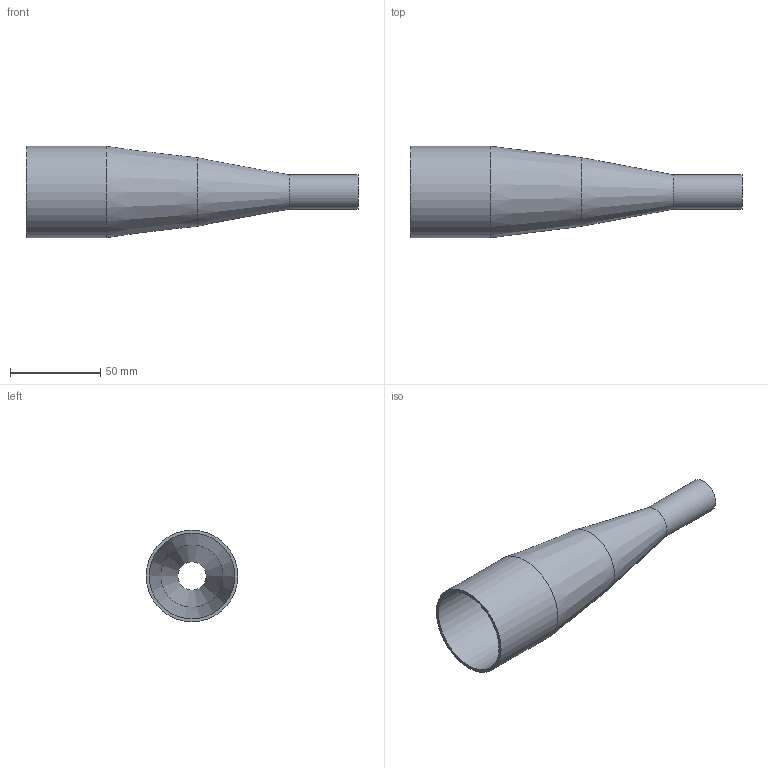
import cadquery as cq

total_length = 184.15
large_straight_length = 44.45
small_straight_length = 38.1

large_outer_diameter = 50.8
middle_outer_diameter = 38.1
small_outer_diameter = 19.05
wall = 1.65

large_cone_start = large_straight_length
small_straight_start = total_length - small_straight_length
cone_joint = (large_cone_start + small_straight_start) / 2


def revolved_body(inset):
    """Solid of revolution about X, with every radius reduced by the inset."""
    large_radius = large_outer_diameter / 2 - inset
    middle_radius = middle_outer_diameter / 2 - inset
    small_radius = small_outer_diameter / 2 - inset
    half_profile = [
        (0, 0),
        (0, large_radius),
        (large_cone_start, large_radius),
        (cone_joint, middle_radius),
        (small_straight_start, small_radius),
        (total_length, small_radius),
        (total_length, 0),
    ]
    return (
        cq.Workplane("XY")
        .polyline(half_profile)
        .close()
        .revolve(360, (0, 0, 0), (1, 0, 0))
    )


outer_body = revolved_body(0)
bore = revolved_body(wall)

result = outer_body.cut(bore)